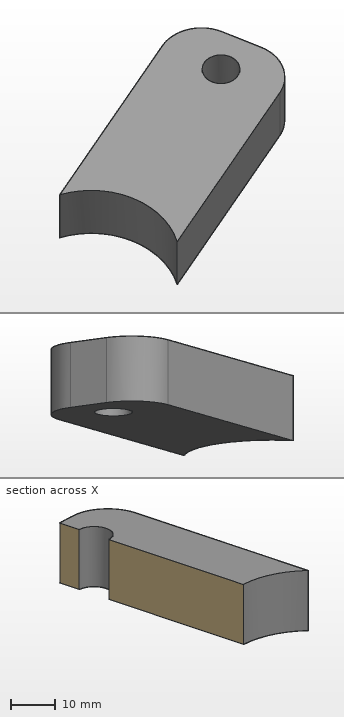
import cadquery as cq
import math

width = 30.0
length = 60.0
thickness = 15.0
corner_radius = 10.0
hole_diameter = 8.5
saddle_radius = 20.0

hole_y = length - corner_radius

saddle_center_y = -math.sqrt(saddle_radius**2 - (width / 2) ** 2)
saddle_top_y = saddle_center_y + saddle_radius


def make_body():
    """Bar with a concave saddle at one end and rounded corners at the other."""
    half_width = width / 2
    return (
        cq.Workplane("XY")
        .moveTo(-half_width, 0)
        .threePointArc((0, saddle_top_y), (half_width, 0))
        .lineTo(half_width, length)
        .lineTo(-half_width, length)
        .close()
        .extrude(thickness)
        .edges("|Z and >Y")
        .fillet(corner_radius)
    )


def make_hole():
    """Cylinder that cuts the pivot hole through the full thickness."""
    return (
        cq.Workplane("XY")
        .center(0, hole_y)
        .circle(hole_diameter / 2)
        .extrude(thickness)
    )


result = make_body().cut(make_hole())